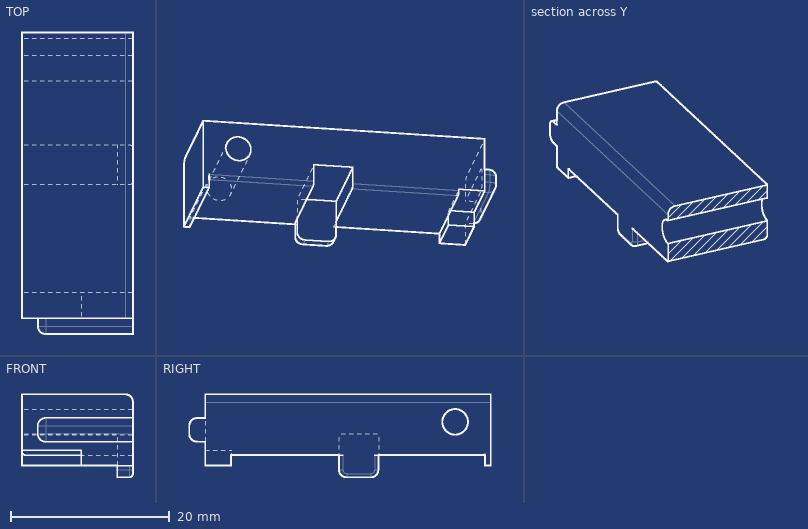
import cadquery as cq

width = 14.0
length = 36.0
height = 9.0
top_edge_radius = 1.0

relief_height = 1.3
relief_edge_radius = 0.5
rear_wall_thickness = 0.75
rear_wall_front = length - rear_wall_thickness

notch_width = 7.5
notch_length = 3.3
notch_height = 1.95

rail_start = 2.0
rail_depth = 2.0
rail_bottom = 3.0
rail_height = 3.0
rail_radius = 1.0

tab_thickness = 2.0
tab_length = 5.0
tab_front = 16.85
tab_drop = 1.5
tab_radius = 1.0
tab_edge_radius = 0.5
slot_top = 4.0

hole_diameter = 3.2
hole_y = 31.5
hole_z = 5.5


def box(x_range, y_range, z_range):
    """Axis-aligned box between the given limits."""
    size = [high - low for low, high in (x_range, y_range, z_range)]
    origin = (x_range[0], y_range[0], z_range[0])
    return cq.Workplane("XY").box(*size, centered=False).translate(origin)


def make_block():
    """Block with a rounded top right edge, a relieved underside and a front corner notch."""
    block = box((0, width), (0, length), (0, height))
    block = block.edges(">X and >Z").fillet(top_edge_radius)
    relief = box((0, width), (notch_length, rear_wall_front), (0, relief_height))
    notch = box((0, notch_width), (0, notch_length), (0, notch_height))
    return block.cut(relief).cut(notch)


def relief_edge_rounding():
    """Material removed to round the lower left edge of the relieved underside."""
    y_range = (notch_length, rear_wall_front)
    edge_top = relief_height + relief_edge_radius
    corner = box((0, relief_edge_radius), y_range, (relief_height, edge_top))
    rod = (
        cq.Workplane("XZ", origin=(relief_edge_radius, y_range[0], edge_top))
        .circle(relief_edge_radius)
        .extrude(y_range[0] - y_range[1])
    )
    return corner.cut(rod)


def make_rail():
    """Rail with every free edge rounded; flat where it meets the block and at its right end."""
    rail = box(
        (rail_start, width),
        (-rail_depth, 0),
        (rail_bottom, rail_bottom + rail_height),
    )
    return rail.edges("<X or <Y").edges("not(>X or >Y)").fillet(rail_radius)


def make_tab():
    """Tab with rounded lower corners and a softened outer rim along its sides and bottom."""
    tab = box(
        (width - tab_thickness, width),
        (tab_front, tab_front + tab_length),
        (-tab_drop, slot_top),
    )
    tab = tab.edges("|X and <Z").fillet(tab_radius)
    return tab.faces(">X").edges("not >Z").fillet(tab_edge_radius)


def make_slot():
    """Slot from the left side to the inner face of the tab."""
    return box(
        (0, width - tab_thickness),
        (tab_front, tab_front + tab_length),
        (0, slot_top),
    )


def make_hole():
    """Cylinder of the cross hole."""
    return (
        cq.Workplane("YZ")
        .center(hole_y, hole_z)
        .circle(hole_diameter / 2)
        .extrude(width)
    )


body = make_block().cut(relief_edge_rounding()).union(make_rail())
result = body.cut(make_slot()).cut(make_hole()).union(make_tab())